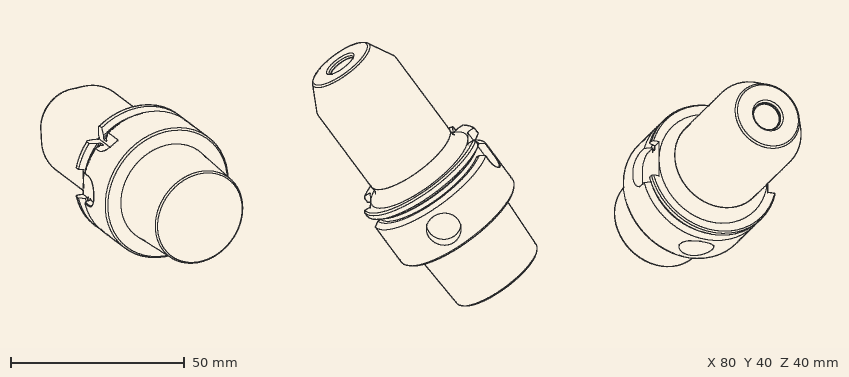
import cadquery as cq

total_length = 80.0
flange_length = 20.2
shank_length = 20.0
shank_start = total_length - shank_length
flange_start = shank_start - flange_length

nose_face_radius = 9.5
nose_edge_radius = 10.1
nose_edge_length = 0.5
nose_length = 8.7
nose_blend_length = 0.5
nose_blend_height = 0.1
body_radius = 28.0 / 2
neck_radius = 27.8 / 2
body_end = 35.8
neck_end = 37.2

flange_radius = 40.0 / 2
dish_depth = 0.4
dish_outer_radius = 18.2
neck_fillet = flange_start + dish_depth - neck_end
dish_inner_radius = neck_radius + neck_fillet
front_chamfer_length = 0.6
front_chamfer_height = 0.4
rear_chamfer = 0.6
groove_left = 43.0
groove_right = 44.7
groove_floor_radius = 17.5
groove_wall_radius = 18.4
groove_flare = 1.1
groove_corner = 0.3

shank_large_radius = 15.2
shank_small_radius = 14.2
shank_chamfer = 0.5

bore_radius = 8.0 / 2
relief_radius = 8.5 / 2
mouth_radius = 9.6 / 2
mouth_depth = mouth_radius - relief_radius
relief_depth = 1.2
bore_depth = 36.0
bore_floor_radius = 3.5

slot_floor = 17.0
slot_end = 52.1
narrow_slot_width = 9.0
narrow_slot_rim = 0.2
wide_slot_width = 10.8
wide_slot_end = 52.4
wide_slot_corner = 4.3
notch_offset = 11.9
notch_end = 52.0
notch_end_radius = 4.3

pocket_diameter = 10.0
pocket_center = 52.6
pocket_depth = 4.6

clearance = 1.6


def revolve_about_x(profile):
    return profile.close().revolve(360, (0, 0, 0), (1, 0, 0))


def make_body():
    fillet_drop = neck_fillet * 0.5 ** 0.5
    profile = (
        cq.Workplane("XY")
        .moveTo(0, 0)
        .lineTo(0, nose_face_radius)
        .lineTo(nose_edge_length, nose_edge_radius)
        .lineTo(nose_length - nose_blend_length, body_radius - nose_blend_height)
        .lineTo(nose_length, body_radius)
        .lineTo(body_end, body_radius)
        .lineTo(body_end, neck_radius)
        .lineTo(neck_end, neck_radius)
        .threePointArc(
            (neck_end + fillet_drop, dish_inner_radius - fillet_drop),
            (flange_start + dish_depth, dish_inner_radius),
        )
        .lineTo(flange_start, dish_outer_radius)
        .lineTo(flange_start, flange_radius - front_chamfer_height)
        .lineTo(flange_start + front_chamfer_length, flange_radius)
        .lineTo(groove_left - groove_flare, flange_radius)
        .lineTo(groove_left, groove_wall_radius)
        .lineTo(groove_left, groove_floor_radius + groove_corner)
        .lineTo(groove_left + groove_corner, groove_floor_radius)
        .lineTo(groove_right, groove_floor_radius)
        .lineTo(groove_right, groove_wall_radius)
        .lineTo(groove_right + groove_flare, flange_radius)
        .lineTo(shank_start - rear_chamfer, flange_radius)
        .lineTo(shank_start, flange_radius - rear_chamfer)
        .lineTo(shank_start, shank_large_radius)
        .lineTo(total_length - shank_chamfer, shank_small_radius)
        .lineTo(total_length, shank_small_radius - shank_chamfer)
        .lineTo(total_length, 0)
    )
    return revolve_about_x(profile)


def make_bore():
    profile = (
        cq.Workplane("XY")
        .moveTo(0, 0)
        .lineTo(0, mouth_radius)
        .lineTo(mouth_depth, relief_radius)
        .lineTo(relief_depth, relief_radius)
        .lineTo(relief_depth, bore_radius)
        .lineTo(bore_depth - (bore_radius - bore_floor_radius), bore_radius)
        .lineTo(bore_depth, bore_floor_radius)
        .lineTo(bore_depth, 0)
    )
    return revolve_about_x(profile)


def make_slot(side, end, width, corner):
    """Flat-floored slot open to the flange front; side is +1 for +Y, -1 for -Y."""
    start = flange_start - clearance
    depth = flange_radius + clearance - slot_floor
    middle = side * (slot_floor + depth / 2)
    block = cq.Workplane("XY").box(end - start, depth, width)
    if 2 * corner < width:
        block = block.edges(">X and |Y").fillet(corner)
        return block.translate(((start + end) / 2, middle, 0))
    block_end = end - width / 2
    block = cq.Workplane("XY").box(block_end - start, depth, width)
    block = block.translate(((start + block_end) / 2, middle, 0))
    round_end = (
        cq.Workplane("XZ")
        .center(block_end, 0)
        .circle(width / 2)
        .extrude(depth / 2, both=True)
        .translate((0, middle, 0))
    )
    return block.union(round_end)


def make_notch():
    """Corner notch in the (-Y, +Z) quadrant with a rounded run-out."""
    start = flange_start - clearance
    return (
        cq.Workplane("XY")
        .box(notch_end - start, flange_radius, flange_radius, centered=False)
        .edges(">X and <Z")
        .fillet(notch_end_radius)
        .translate((start, -notch_offset - flange_radius, notch_offset))
    )


def make_pocket():
    return (
        cq.Workplane("XY", origin=(pocket_center, 0, -flange_radius))
        .circle(pocket_diameter / 2)
        .extrude(pocket_depth)
    )


def break_narrow_slot_rim(part):
    """Chamfer the rim of the -Y slot where it cuts the wide land of the flange."""
    land_start = groove_right + groove_flare
    rim = cq.selectors.BoxSelector(
        (land_start - narrow_slot_rim, -flange_radius - clearance, -narrow_slot_width),
        (slot_end + clearance, -slot_floor - clearance, narrow_slot_width),
    )
    return part.edges(rim).chamfer(narrow_slot_rim)


holder = (
    make_body()
    .cut(make_bore())
    .cut(make_slot(-1, slot_end, narrow_slot_width, narrow_slot_width / 2))
    .cut(make_slot(1, wide_slot_end, wide_slot_width, wide_slot_corner))
    .cut(make_notch())
    .cut(make_pocket())
)
result = break_narrow_slot_rim(holder)